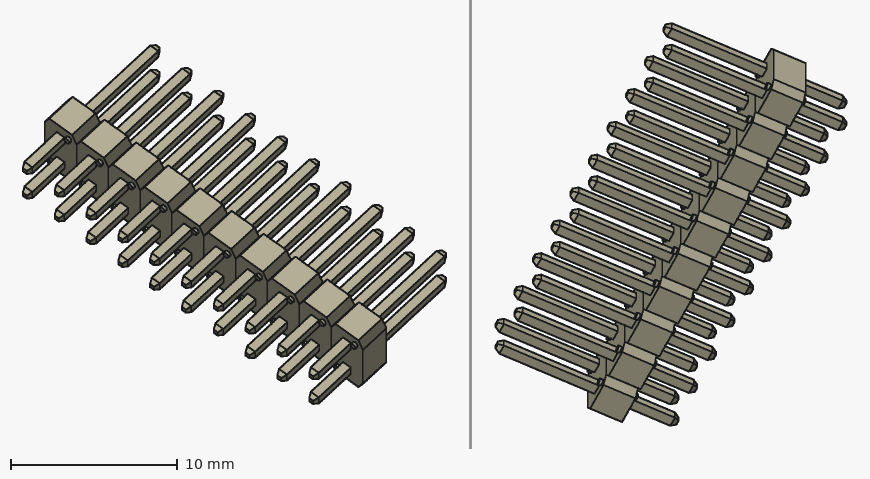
import cadquery as cq

module_count = 10
row_length = 25.4
pitch = row_length / module_count

housing_depth = 2.13
housing_height = 4.83
corner_width = 0.35
corner_height = 0.65

pin_size = 0.64
pin_spacing = pitch
pin_front_length = 3.25
pin_back_length = 6.68
tip_length = 0.33
tip_size = 0.33

bump_diameter = 0.4
bump_height = 0.2
bump_x = 0.65
bump_z = 1.75

front_face_y = -housing_depth / 2
back_face_y = housing_depth / 2


def make_housing():
    """Block with its four long edges cut at a steep angle."""
    half_width = pitch / 2
    half_height = housing_height / 2
    flat_half_width = half_width - corner_width
    side_half_height = half_height - corner_height
    outline = [
        (half_width, -side_half_height),
        (half_width, side_half_height),
        (flat_half_width, half_height),
        (-flat_half_width, half_height),
        (-half_width, side_half_height),
        (-half_width, -side_half_height),
        (-flat_half_width, -half_height),
        (flat_half_width, -half_height),
    ]
    return cq.Workplane("XZ").polyline(outline).close().extrude(housing_depth / 2, both=True)


def make_pin():
    """Square pin along Y, centred on X and Z, with a tapered tip at each end."""
    front_shoulder_y = front_face_y - pin_front_length + tip_length
    back_shoulder_y = back_face_y + pin_back_length - tip_length

    def tip(shoulder_y, direction):
        base = cq.Workplane("XZ", origin=(0, shoulder_y, 0)).rect(pin_size, pin_size)
        return base.workplane(offset=-direction * tip_length).rect(tip_size, tip_size).loft(ruled=True)

    shank_length = back_shoulder_y - front_shoulder_y
    shank_middle_y = (back_shoulder_y + front_shoulder_y) / 2
    shank = cq.Workplane("XY").box(pin_size, shank_length, pin_size).translate((0, shank_middle_y, 0))
    return shank.union(tip(front_shoulder_y, -1)).union(tip(back_shoulder_y, 1))


def make_bumps():
    """Two diagonally opposed cylinders that stand out of both housing faces."""
    return (
        cq.Workplane("XZ")
        .pushPoints([(bump_x, bump_z), (-bump_x, -bump_z)])
        .circle(bump_diameter / 2)
        .extrude(housing_depth / 2 + bump_height, both=True)
    )


def make_module():
    """One solid: housing, bumps and an upper and a lower pin."""
    module = make_housing().union(make_bumps())
    for pin_z in (-pin_spacing / 2, pin_spacing / 2):
        module = module.union(make_pin().translate((0, 0, pin_z)))
    return module


modules = []
for index in range(module_count):
    module_x = (index - (module_count - 1) / 2) * pitch
    modules.append(make_module().translate((module_x, 0, 0)))

result = cq.Compound.makeCompound([module.val() for module in modules])